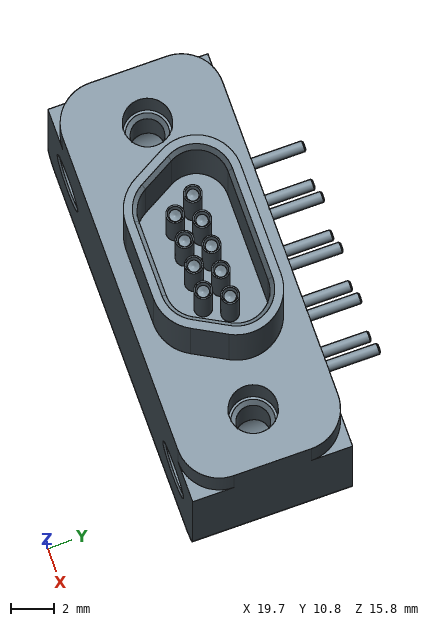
import cadquery as cq
import math

body_length = 19.7
overall_width = 10.8
body_width = 7.8
total_height = 15.8
shell_height = 4.9
body_height = total_height - shell_height
bottom_fillet = 1.0

flange_thickness = 2.29
flange_corner_radius = 2.0
ledge_height = body_height - flange_thickness

hole_spacing = 14.38
mount_diameter = 2.6
mount_chamfer = 0.1
mount_height = 4.53
jack_bore_diameter = 2.3
jack_sink_diameter = 2.05
jack_hole_diameter = 1.6
hole_points = [(-hole_spacing / 2, 0), (hole_spacing / 2, 0)]

core_top_length = 5.44
core_bottom_length = 3.7
core_width = 1.58
shell_radius = 2.17
mouth_radius = 1.75
cavity_radius = 1.54
mouth_bevel_depth = 0.32

long_row_count = 5
short_row_count = long_row_count - 1
long_row_length = 5.08
contact_pitch = long_row_length / (long_row_count - 1)
contact_row_spacing = 1.08
contact_recess = 1.5
contact_diameter = 0.87
contact_mouth_diameter = 0.73
contact_bottom_diameter = 0.57
contact_bore_depth = 0.28
contact_cone_depth = 0.15
rows = [(long_row_count, 1), (short_row_count, -1)]

pin_diameter = 0.53
pin_tip_diameter = 0.4
pin_pitch = 2 * contact_pitch
pin_length = overall_width - body_width
pin_middle_height = 3.76
pin_row_spacing = 2.52


def row_positions(count, pitch):
    """X positions of a row centred on X = 0."""
    first = -(count - 1) * pitch / 2
    return [first + index * pitch for index in range(count)]


def d_outline(height, radius):
    """Sketch the D-shaped outline at a height, ready to extrude."""
    corner_centres = [
        (-core_top_length / 2, core_width / 2),
        (core_top_length / 2, core_width / 2),
        (core_bottom_length / 2, -core_width / 2),
        (-core_bottom_length / 2, -core_width / 2),
    ]
    return cq.Workplane("XY").workplane(offset=height).polyline(corner_centres).close().offset2D(radius)


def housing():
    """Square-cornered block under a round-cornered flange."""
    block = (
        cq.Workplane("XY")
        .box(body_length, body_width, ledge_height, centered=(True, True, False))
        .edges("|Y and <Z")
        .fillet(bottom_fillet)
    )
    flange = (
        cq.Workplane("XY")
        .workplane(offset=ledge_height)
        .box(body_length, body_width, flange_thickness, centered=(True, True, False))
        .edges("|Z")
        .fillet(flange_corner_radius)
    )
    return block.union(flange)


def mounting_holes():
    """Through holes along Y, bevelled at both faces."""
    mount_points = [(x, mount_height) for x, _ in hole_points]
    half_width = body_width / 2
    holes = (
        cq.Workplane("XZ", origin=(0, half_width, 0))
        .pushPoints(mount_points)
        .circle(mount_diameter / 2)
        .extrude(body_width)
    )
    mouth = mount_diameter / 2 + mount_chamfer
    bevel_profile = [(0, -half_width), (mouth, -half_width), (0, mouth - half_width)]
    bevel = cq.Workplane("XY").polyline(bevel_profile).close().revolve(360, (0, 0, 0), (0, 1, 0))
    for x, z in mount_points:
        front_bevel = bevel.translate((x, 0, z))
        holes = holes.union(front_bevel).union(front_bevel.mirror("XZ"))
    return holes


def jackscrew_hole():
    """Stepped hole with a countersunk seat, from the flange into the mounting hole."""
    bore = jack_bore_diameter / 2
    sink = jack_sink_diameter / 2
    hole = jack_hole_diameter / 2
    profile = [
        (0, body_height),
        (bore, body_height),
        (bore, ledge_height),
        (sink, ledge_height),
        (hole, ledge_height - (sink - hole)),
        (hole, mount_height),
        (0, mount_height),
    ]
    return cq.Workplane("XZ").polyline(profile).close().revolve(360, (0, 0, 0), (0, 1, 0))


def shell():
    """D-shaped shell with an open cavity bevelled at the mouth."""
    bevel_angle = math.degrees(math.atan((mouth_radius - cavity_radius) / mouth_bevel_depth))
    outside = d_outline(body_height, shell_radius).extrude(shell_height)
    cavity = d_outline(body_height, cavity_radius).extrude(shell_height)
    bevel = d_outline(total_height, mouth_radius).extrude(-mouth_bevel_depth, taper=bevel_angle)
    return outside.cut(cavity).cut(bevel)


def contact():
    """Upright socket with a tapered blind bore ending in a cone."""
    top = total_height - contact_recess
    outside = contact_diameter / 2
    mouth = contact_mouth_diameter / 2
    bottom = contact_bottom_diameter / 2
    bore_bottom = top - contact_bore_depth
    profile = [
        (0, body_height),
        (outside, body_height),
        (outside, top),
        (mouth, top),
        (bottom, bore_bottom),
        (0, bore_bottom - contact_cone_depth),
    ]
    return cq.Workplane("XZ").polyline(profile).close().revolve(360, (0, 0, 0), (0, 1, 0))


def pin():
    """Round pin along Y with a bevelled tip, starting at the back face."""
    tip_bevel = (pin_diameter - pin_tip_diameter) / 2
    return (
        cq.Workplane("XZ", origin=(0, body_width / 2, 0))
        .circle(pin_diameter / 2)
        .extrude(-pin_length)
        .faces(">Y")
        .chamfer(tip_bevel)
    )


result = housing().cut(mounting_holes())
for x, y in hole_points:
    result = result.cut(jackscrew_hole().translate((x, y, 0)))
result = result.union(shell())
for count, side in rows:
    contact_y = side * contact_row_spacing / 2
    pin_z = pin_middle_height + side * pin_row_spacing / 2
    for x in row_positions(count, contact_pitch):
        result = result.union(contact().translate((x, contact_y, 0)))
    for x in row_positions(count, pin_pitch):
        result = result.union(pin().translate((x, 0, pin_z)))